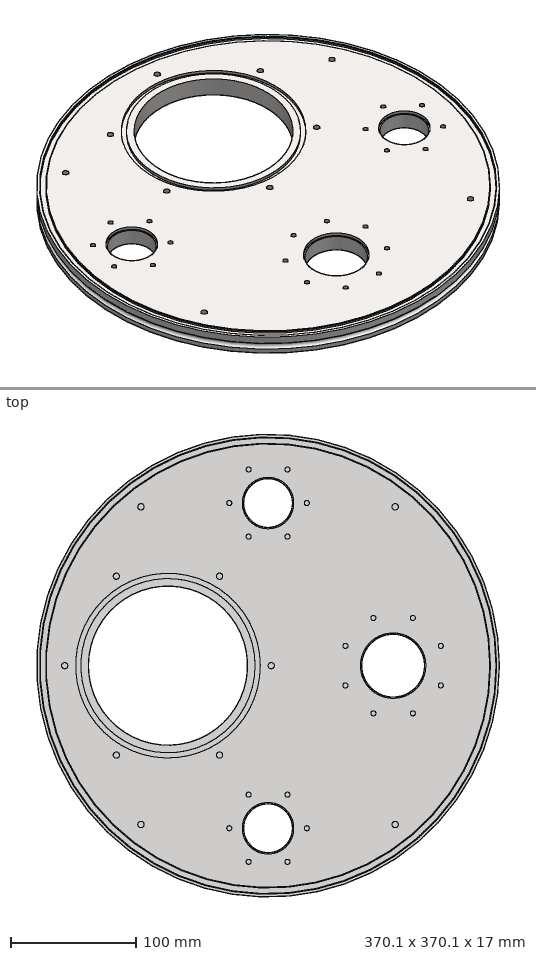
import cadquery as cq

PLATE_DIAMETER = 370.08
PLATE_THICKNESS = 17.02

RIM_GROOVE_WIDTH = 5.76
RIM_GROOVE_DEPTH = 2.3
RIM_GROOVE_HEIGHT = 7.24

EDGE_GROOVE_OUTER_DIAMETER = 365.05
EDGE_GROOVE_INNER_DIAMETER = 355.09
EDGE_GROOVE_DEPTH = 2.1
EDGE_GROOVE_CHAMFER = 0.6
PORT_GROOVE_OUTER_DIAMETER = 147.62
PORT_GROOVE_INNER_DIAMETER = 139.29
PORT_GROOVE_DEPTH = 2.6

LARGE_PORT_CENTER = (-80.0, 0.0)
LARGE_PORT_DIAMETER = 127.0
LARGE_PORT_BOLT_CIRCLE = 165.1
LARGE_PORT_BOLT_COUNT = 6
LARGE_PORT_BOLT_DIAMETER = 5.0

MEDIUM_PORT_CENTER = (100.0, 0.0)
MEDIUM_PORT_DIAMETER = 50.04
MEDIUM_PORT_COUNTERBORE = 52.32
MEDIUM_PORT_BOLT_CIRCLE = 82.55
MEDIUM_PORT_BOLT_COUNT = 8

SMALL_PORT_OFFSET = 130.0
SMALL_PORT_DIAMETER = 38.86
SMALL_PORT_COUNTERBORE = 41.2
SMALL_PORT_BOLT_CIRCLE = 62.0
SMALL_PORT_BOLT_COUNT = 6

COUNTERBORE_DEPTH = 2.7
PORT_BOLT_DIAMETER = 4.04

BLIND_HOLE_DEPTH = 10.0

MOUNT_SPACING_X = 203.2
MOUNT_SPACING_Y = 254.0
MOUNT_HOLE_DIAMETER = 5.11


def top_plane(plate):
    """Workplane on the top face with its origin on the plate axis."""
    return plate.faces(">Z").workplane(origin=(0, 0, PLATE_THICKNESS))


def cut_rim_groove(plate):
    """Cut the arc-shaped groove around the outside of the plate."""
    rim_radius = PLATE_DIAMETER / 2
    half_width = RIM_GROOVE_WIDTH / 2
    profile = (
        cq.Workplane("XZ")
        .moveTo(rim_radius, RIM_GROOVE_HEIGHT - half_width)
        .threePointArc(
            (rim_radius - RIM_GROOVE_DEPTH, RIM_GROOVE_HEIGHT),
            (rim_radius, RIM_GROOVE_HEIGHT + half_width),
        )
        .close()
    )
    return plate.cut(profile.revolve(360, (0, 0, 0), (0, 1, 0)))


def cut_edge_groove(plate):
    """Cut the ring groove near the plate edge, with both mouth edges chamfered."""
    outer_radius = EDGE_GROOVE_OUTER_DIAMETER / 2
    inner_radius = EDGE_GROOVE_INNER_DIAMETER / 2
    half_chamfer = EDGE_GROOVE_CHAMFER / 2
    wall_top = PLATE_THICKNESS - EDGE_GROOVE_CHAMFER
    floor = PLATE_THICKNESS - EDGE_GROOVE_DEPTH
    profile = (
        cq.Workplane("XZ")
        .moveTo(outer_radius + half_chamfer, PLATE_THICKNESS)
        .lineTo(outer_radius - half_chamfer, wall_top)
        .lineTo(outer_radius - half_chamfer, floor)
        .lineTo(inner_radius + half_chamfer, floor)
        .lineTo(inner_radius + half_chamfer, wall_top)
        .lineTo(inner_radius - half_chamfer, PLATE_THICKNESS)
        .close()
    )
    return plate.cut(profile.revolve(360, (0, 0, 0), (0, 1, 0)))


def cut_ring_groove(plate, center, outer_diameter, inner_diameter, depth):
    """Cut a square-sided ring groove into the top face."""
    return (
        top_plane(plate)
        .center(*center)
        .circle(outer_diameter / 2)
        .circle(inner_diameter / 2)
        .cutBlind(-depth)
    )


def cut_bolt_circle(plate, center, circle_diameter, count, hole_diameter, start_angle=0):
    """Drill equally spaced blind holes around a port."""
    return (
        top_plane(plate)
        .center(*center)
        .polarArray(circle_diameter / 2, start_angle, 360, count)
        .hole(hole_diameter, BLIND_HOLE_DEPTH)
    )


def cut_counterbored_port(plate, center, diameter, counterbore_diameter):
    """Cut a through port with a counterbore in the top face."""
    return top_plane(plate).center(*center).cboreHole(diameter, counterbore_diameter, COUNTERBORE_DEPTH)


def cut_large_port(plate):
    """Cut the large port, the ring groove around it and its bolt holes."""
    plate = top_plane(plate).center(*LARGE_PORT_CENTER).hole(LARGE_PORT_DIAMETER)
    plate = cut_ring_groove(
        plate,
        LARGE_PORT_CENTER,
        PORT_GROOVE_OUTER_DIAMETER,
        PORT_GROOVE_INNER_DIAMETER,
        PORT_GROOVE_DEPTH,
    )
    return cut_bolt_circle(
        plate,
        LARGE_PORT_CENTER,
        LARGE_PORT_BOLT_CIRCLE,
        LARGE_PORT_BOLT_COUNT,
        LARGE_PORT_BOLT_DIAMETER,
    )


def cut_medium_port(plate):
    """Cut the medium port; its bolts start half a pitch off the X axis."""
    half_pitch = 180 / MEDIUM_PORT_BOLT_COUNT
    plate = cut_counterbored_port(
        plate, MEDIUM_PORT_CENTER, MEDIUM_PORT_DIAMETER, MEDIUM_PORT_COUNTERBORE
    )
    return cut_bolt_circle(
        plate,
        MEDIUM_PORT_CENTER,
        MEDIUM_PORT_BOLT_CIRCLE,
        MEDIUM_PORT_BOLT_COUNT,
        PORT_BOLT_DIAMETER,
        half_pitch,
    )


def cut_small_port(plate, center):
    """Cut one small port and its bolt holes."""
    plate = cut_counterbored_port(plate, center, SMALL_PORT_DIAMETER, SMALL_PORT_COUNTERBORE)
    return cut_bolt_circle(
        plate, center, SMALL_PORT_BOLT_CIRCLE, SMALL_PORT_BOLT_COUNT, PORT_BOLT_DIAMETER
    )


def cut_mounting_holes(plate):
    """Drill the four blind mounting holes."""
    return (
        top_plane(plate)
        .rect(MOUNT_SPACING_X, MOUNT_SPACING_Y, forConstruction=True)
        .vertices()
        .hole(MOUNT_HOLE_DIAMETER, BLIND_HOLE_DEPTH)
    )


result = cq.Workplane("XY").circle(PLATE_DIAMETER / 2).extrude(PLATE_THICKNESS)
result = cut_rim_groove(result)
result = cut_edge_groove(result)
result = cut_large_port(result)
result = cut_medium_port(result)
for side in (-1, 1):
    result = cut_small_port(result, (0, side * SMALL_PORT_OFFSET))
result = cut_mounting_holes(result)